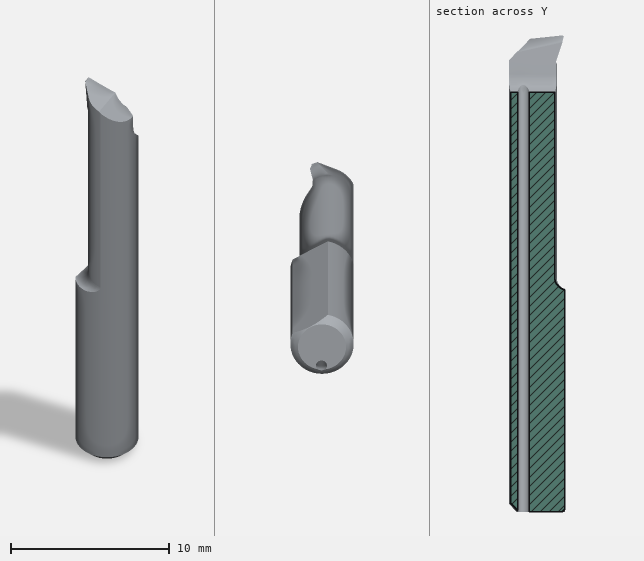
import cadquery as cq
import math

length = 30.0
reach = 45.0

shank_radius = 1.995
shank_flat_x = -1.545
chamfer_radial = 0.48
chamfer_height = 0.55

neck_radius = 1.8
neck_x = 0.78
neck_blend_radius = 0.78
neck_start_z = 14.75

rake_y = 0.12
rake_runout_z = 25.17
rake_runout_top_z = 27.0
rake_runout_radius = 1.35

head_start_z = 28.4
tip_x = -1.5
head_tangent_angle = math.radians(227)
side_taper = 0.33
side_relief = 0.15
ledge_x = -0.93
ledge_slope = 2.0
nose_chamfer = 0.12

end_drop = 0.11
end_relief = 0.15
back_drop = 1.02
back_relief = 0.10
back_edge_z = 28.425

groove_radius = 0.55
groove_floor_y = -0.05
groove_slope = 0.22

hole_diameter = 0.7
hole_x = 1.08
hole_y = 0.63


def cylinder(radius, x, y, bottom, top):
    return cq.Workplane("XY", origin=(x, y, bottom)).circle(radius).extrude(top - bottom)


def half_space(point, normal):
    """Large block on the side of a plane that its normal points to."""
    return cq.Workplane(cq.Plane(origin=point, normal=normal)).rect(2 * reach, 2 * reach).extrude(reach)


def make_shank():
    shank = cylinder(shank_radius, 0, 0, 0, length)
    shank = shank.faces("<Z").chamfer(chamfer_height, chamfer_radial)
    return shank.cut(half_space((shank_flat_x, 0, 0), (-1, 0, 0)))


def neck_relief():
    """Ring around the neck, with a concave blend at its lower end."""
    floor_z = neck_start_z - neck_blend_radius
    blend_outer = neck_radius + neck_blend_radius
    outer = neck_radius + 2 * shank_radius
    arc_mid = (
        blend_outer - neck_blend_radius * math.cos(math.pi / 4),
        neck_start_z - neck_blend_radius * math.sin(math.pi / 4),
    )
    profile = (
        cq.Workplane("XZ", origin=(neck_x, 0, 0))
        .moveTo(neck_radius, length)
        .lineTo(neck_radius, neck_start_z)
        .threePointArc(arc_mid, (blend_outer, floor_z))
        .lineTo(outer, floor_z)
        .lineTo(outer, length)
        .close()
    )
    return profile.revolve(360, (0, 0, 0), (0, 1, 0))


def head_wedge():
    """Flat flank, tangent to the neck, that carries the cutting tip."""
    tangent_x = neck_x + neck_radius * math.cos(head_tangent_angle)
    tangent_y = neck_radius * math.sin(head_tangent_angle)
    run = (rake_y - tangent_y) / math.cos(head_tangent_angle)
    corner_x = tangent_x - run * math.sin(head_tangent_angle)
    outline = [(neck_x, rake_y), (neck_x, 0), (tangent_x, tangent_y), (corner_x, rake_y)]
    return cq.Workplane("XY", origin=(0, 0, head_start_z)).polyline(outline).close().extrude(length - head_start_z)


def rake_cut():
    slope = (neck_radius - rake_y) / (rake_runout_top_z - rake_runout_z)
    outer_y = 2 * neck_radius
    outer_z = rake_runout_top_z - (outer_y - rake_y) / slope
    outline = [
        (rake_y, length),
        (rake_y, rake_runout_top_z),
        (outer_y, outer_z),
        (outer_y, length),
    ]
    block = cq.Workplane("YZ").polyline(outline).close().extrude(2 * shank_radius, both=True)
    corner = cq.selectors.NearestToPointSelector((0, rake_y, rake_runout_top_z))
    return block.edges(corner).fillet(rake_runout_radius)


def side_clearance():
    """Taper behind the tip, ending on a small ledge in the neck."""
    flank = half_space((tip_x, 0, length), (-1, -side_relief, -side_taper))
    return flank.intersect(half_space((ledge_x, 0, head_start_z), (-ledge_slope, 0, 1)))


def chip_groove():
    direction = (1, 0, -groove_slope)
    start = (tip_x - shank_radius, groove_floor_y + groove_radius, length + groove_slope * shank_radius)
    return cq.Workplane(cq.Plane(origin=start, normal=direction)).circle(groove_radius).extrude(4 * shank_radius)


def nose_facet():
    """Small bevel on the corner of the tip."""
    return half_space((tip_x + nose_chamfer, groove_floor_y, length), (-1, -side_relief, 1))


def end_clearance():
    """Shallow end face falling away from the tip."""
    return half_space((tip_x + nose_chamfer, groove_floor_y, length), (end_drop, -end_relief, 1))


def back_clearance():
    """Steep end face running down to the +X side."""
    return half_space((shank_radius, 0, back_edge_z), (back_drop, -back_relief, 1))


def coolant_hole():
    return cylinder(hole_diameter / 2, hole_x, hole_y, 0, length)


result = make_shank().cut(neck_relief()).union(head_wedge())
cuts = (rake_cut, side_clearance, nose_facet, end_clearance, back_clearance, chip_groove, coolant_hole)
for make_cut in cuts:
    result = result.cut(make_cut())